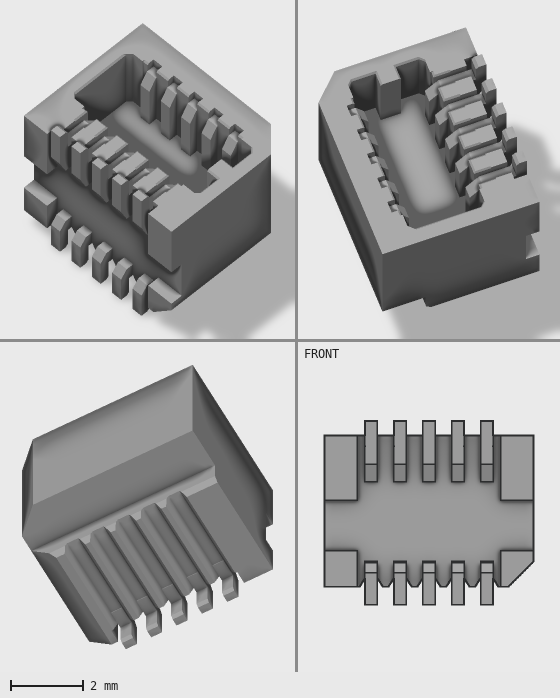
import cadquery as cq


width = 5.8
depth = 4.645
height = 4.2
overall_height = 5.1
half_width = width / 2
plan_corner = 0.755

step_height = 0.71
step_y = 3.35
step_chamfer = 0.145
side_chamfer = 0.71

recess_depth = 0.4
recess_width = 3.975
band_bottom = 1.0
band_top = 2.4

floor_z = 2.075
lip = 0.05
cavity_half_width = 2.455
cavity_front = 1.42
cavity_back = 3.69
cavity_corner = 0.14
bay_width = 3.89
bay_front = 1.38
bay_back = 3.72
key_tip_x = 2.05
key_front = 2.245
key_back = 2.84

contact_count = 5
pitch = 0.8
contact_width = 0.35
contact_top = height - 0.3
contact_slope = 0.375
tail_front = -0.05
tail_back = 0.26
tail_chamfer = 0.085
tail_slope_depth = 0.22
tail_slope_y = tail_front + tail_slope_depth

upper_tail_top = height + 0.4
upper_tail_bottom = 2.91
upper_tail_slope = 0.495
front_contact_face = 1.64
front_contact_edge = 1.24
slot_chamfer = 0.045
slot_chamfer_front = 0.88

rear_slot_back = 3.95
rear_contact_edge = cavity_back
rear_contact_face = 3.44
lower_tail_top = 0.665
lower_tail_bottom = upper_tail_top - overall_height
lower_tail_slope = 0.265
lead_underside = 0.2
lead_end = 0.8

groove_mouth = 0.65
groove_depth = 0.23

contact_xs = [(i - (contact_count - 1) / 2) * pitch for i in range(contact_count)]


def box(x_range, y_range, z_range):
    """Axis-aligned block between the given limits."""
    (x0, x1), (y0, y1), (z0, z1) = x_range, y_range, z_range
    return cq.Workplane("XY").box(x1 - x0, y1 - y0, z1 - z0, centered=False).translate((x0, y0, z0))


def profile_along_x(points, x_mid, length):
    """Prism with a (Y, Z) outline, centred on x_mid."""
    return cq.Workplane("YZ", origin=(x_mid, 0, 0)).polyline(points).close().extrude(length / 2, both=True)


def profile_along_y(points, y_start, y_end):
    """Prism with an (X, Z) outline between two Y positions."""
    return cq.Workplane("XZ", origin=(0, y_start, 0)).polyline(points).close().extrude(y_start - y_end)


def housing_block():
    """Stepped block with one rear corner and one lower side edge cut off."""
    side = [
        (0, 0),
        (step_y - step_chamfer, 0),
        (step_y, step_chamfer),
        (step_y, step_height),
        (depth, step_height),
        (depth, height),
        (0, height),
    ]
    block = profile_along_x(side, 0, width)
    plan_cut = (
        cq.Workplane("XY")
        .polyline([
            (half_width - plan_corner, depth),
            (half_width, depth),
            (half_width, depth - plan_corner),
        ])
        .close()
        .extrude(height)
    )
    lower_edge_cut = profile_along_y(
        [(half_width - side_chamfer, 0), (half_width, 0), (half_width, side_chamfer)], 0, depth
    )
    return block.cut(plan_cut).cut(lower_edge_cut)


def front_recess():
    """Cross-shaped cut that leaves the four corner pads standing."""
    between_pads = box((-recess_width / 2, recess_width / 2), (0, recess_depth), (0, height))
    across = box((-half_width, half_width), (0, recess_depth), (band_bottom, band_top))
    return between_pads.union(across)


def cavity_outline(z, widen, rear_left_corner):
    """Keyed cavity outline at height z, its ends and key sides moved out by widen."""
    end = cavity_half_width + widen
    flat = end - cavity_corner
    points = [
        (-flat, cavity_front),
        (flat, cavity_front),
        (end, cavity_front + cavity_corner),
        (end, key_front + widen),
        (key_tip_x, key_front + widen),
        (key_tip_x, key_back - widen),
        (end, key_back - widen),
        (end, cavity_back - cavity_corner),
        (flat, cavity_back),
        (-end + rear_left_corner, cavity_back),
        (-end, cavity_back - rear_left_corner),
        (-end, cavity_front + cavity_corner),
    ]
    return cq.Workplane("XY", origin=(0, 0, z)).polyline(points).close()


def cavity():
    """Keyed pocket with a flared mouth, widened along both contact rows."""
    lip_z = height - lip
    pocket = cavity_outline(floor_z, 0, cavity_corner).extrude(height - floor_z)
    inner_wire = cavity_outline(lip_z, 0, cavity_corner).wires().val()
    outer_wire = cavity_outline(height, lip, cavity_corner + lip).wires().val()
    flare = cq.Workplane(cq.Solid.makeLoft([inner_wire, outer_wire], True))
    contact_bay = profile_along_x(
        [
            (bay_front, floor_z),
            (bay_back, floor_z),
            (bay_back, lip_z),
            (bay_back + lip, height),
            (bay_front - lip, height),
            (bay_front, lip_z),
        ],
        0,
        bay_width,
    )
    return pocket.union(flare).union(contact_bay)


def contact_slots(x):
    """Open slots above the two contacts at x; the front one has chamfered edges."""
    half = contact_width / 2
    sides = (x - half, x + half)
    rear = box(sides, (rear_contact_edge, rear_slot_back), (contact_top, height))
    front = box(sides, (0, front_contact_edge), (contact_top, height))
    front_clearance = box(sides, (front_contact_edge, front_contact_face), (floor_z, height))
    edges = profile_along_y(
        [
            (x - half, height - slot_chamfer),
            (x + half, height - slot_chamfer),
            (x + half + slot_chamfer, height),
            (x - half - slot_chamfer, height),
        ],
        slot_chamfer_front,
        bay_front,
    )
    return rear.union(front).union(front_clearance).union(edges)


def underside_groove(x):
    """Flared groove along the underside and the window where the lower tail comes out."""
    half = contact_width / 2
    flare = profile_along_y(
        [
            (x - groove_mouth / 2, 0),
            (x + groove_mouth / 2, 0),
            (x + half, groove_depth),
            (x - half, groove_depth),
        ],
        recess_depth,
        step_y,
    )
    window = box((x - half, x + half), (recess_depth, lead_end), (groove_depth, step_height))
    return flare.union(window)


def front_contact(x):
    """Upper tail, run back through the front wall and down into the cavity."""
    section = [
        (tail_front, upper_tail_bottom + upper_tail_slope),
        (tail_front, upper_tail_top),
        (tail_back - tail_chamfer, upper_tail_top),
        (tail_back, upper_tail_top - tail_chamfer),
        (tail_back, contact_top),
        (front_contact_edge, contact_top),
        (front_contact_face, contact_top - contact_slope),
        (front_contact_face, floor_z),
        (front_contact_edge, floor_z),
        (front_contact_edge, upper_tail_bottom),
        (tail_slope_y, upper_tail_bottom),
    ]
    return profile_along_x(section, x, contact_width)


def rear_contact(x):
    """Upright contact on the rear wall with a sloped tip."""
    section = [
        (rear_contact_face, floor_z),
        (rear_contact_face, contact_top - contact_slope),
        (rear_contact_edge, contact_top),
        (rear_slot_back, contact_top),
        (rear_slot_back, floor_z),
    ]
    return profile_along_x(section, x, contact_width)


def lower_tail(x):
    """Short lead out of the housing window, bent down into a tail."""
    section = [
        (tail_front, lower_tail_bottom),
        (tail_front, lower_tail_top - lower_tail_slope),
        (tail_slope_y, lower_tail_top),
        (lead_end, lower_tail_top),
        (lead_end, lead_underside),
        (tail_back, lead_underside),
        (tail_back, lower_tail_bottom + tail_chamfer),
        (tail_back - tail_chamfer, lower_tail_bottom),
    ]
    return profile_along_x(section, x, contact_width)


result = housing_block().cut(front_recess()).cut(cavity())
for contact_x in contact_xs:
    result = result.cut(contact_slots(contact_x)).cut(underside_groove(contact_x))
for contact_x in contact_xs:
    for contact in (front_contact(contact_x), rear_contact(contact_x), lower_tail(contact_x)):
        result = result.union(contact)